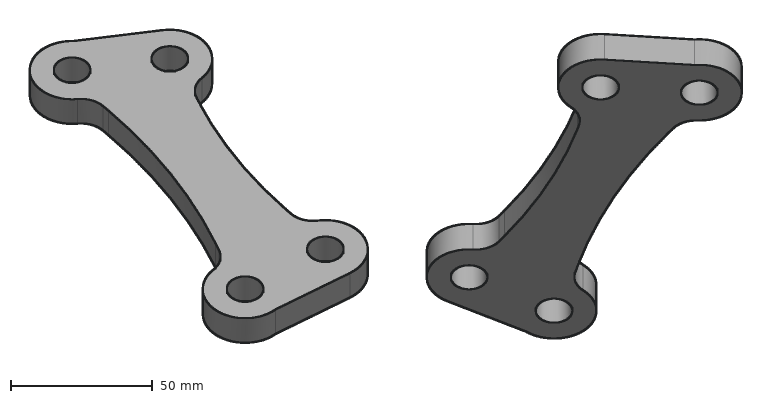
import cadquery as cq
import math

thickness = 12.0
hole_diameter = 13.0
lug_radius = 15.0
neck_fillet = 10.0
lower_left = (0, 0)
upper_left = (11.7, 33.0)
upper_right = (123.6, 33.6)
lower_right = (127.7, -1.1)
hole_centers = [lower_left, upper_left, upper_right, lower_right]

left_edge_angle = 149
right_edge_angle = 17

upper_arc_middle = (66.9, 28.7)
upper_arc_radius = 195.5
upper_arc_half_width = 31.5
lower_arc_middle = (63.4, 4.5)
lower_arc_radius = 222.4
lower_arc_half_width = 39.0


def point_on_lug(center, degrees):
    """Point on the rim of a lug at an angle from +X."""
    angle = math.radians(degrees)
    return (center[0] + lug_radius * math.cos(angle), center[1] + lug_radius * math.sin(angle))


def tangent_point(center, start, side):
    """Point where a line from start touches a lug; side is +1 or -1 around the lug."""
    dx = start[0] - center[0]
    dy = start[1] - center[1]
    spread = math.acos(lug_radius / math.hypot(dx, dy))
    return point_on_lug(center, math.degrees(math.atan2(dy, dx) + side * spread))


def waist_points(middle, radius, half_width, left_x, right_x, bend):
    """Line end, arc end, arc middle, arc end, line end; bend is +1 if the ends curve up."""
    slope_angle = math.asin(half_width / radius)
    end_y = middle[1] + bend * radius * (1 - math.cos(slope_angle))
    arc_left = (middle[0] - half_width, end_y)
    arc_right = (middle[0] + half_width, end_y)
    slope = bend * math.tan(slope_angle)
    line_left = (left_x, end_y + slope * (arc_left[0] - left_x))
    line_right = (right_x, end_y + slope * (right_x - arc_right[0]))
    return line_left, arc_left, middle, arc_right, line_right


def make_web():
    """Web between the four lugs, with straight ends and a curved waist."""
    left_foot = point_on_lug(lower_left, left_edge_angle)
    right_foot = point_on_lug(lower_right, right_edge_angle)
    left_top = tangent_point(upper_left, left_foot, -1)
    right_top = tangent_point(upper_right, right_foot, 1)
    upper = waist_points(
        upper_arc_middle, upper_arc_radius, upper_arc_half_width, upper_left[0], upper_right[0], 1
    )
    lower = waist_points(
        lower_arc_middle, lower_arc_radius, lower_arc_half_width, lower_left[0], lower_right[0], -1
    )
    return (
        cq.Workplane("XY")
        .moveTo(*left_foot)
        .lineTo(*left_top)
        .lineTo(*upper_left)
        .lineTo(*upper[0])
        .lineTo(*upper[1])
        .threePointArc(upper[2], upper[3])
        .lineTo(*upper[4])
        .lineTo(*upper_right)
        .lineTo(*right_top)
        .lineTo(*right_foot)
        .lineTo(*lower_right)
        .lineTo(*lower[4])
        .lineTo(*lower[3])
        .threePointArc(lower[2], lower[1])
        .lineTo(*lower[0])
        .lineTo(*lower_left)
        .close()
        .extrude(thickness)
    )


def neck_edges(body):
    """The vertical edge of each corner where the waist runs into a lug."""
    inward = {lower_left: 1, upper_left: 1, upper_right: -1, lower_right: -1}
    edges = []
    for center, direction in inward.items():
        target = cq.Vector(center[0] + direction * lug_radius, center[1], thickness / 2)
        nearest = min(body.edges("|Z").vals(), key=lambda edge: (edge.Center() - target).Length)
        edges.append(nearest)
    return edges


lugs = cq.Workplane("XY").pushPoints(hole_centers).circle(lug_radius).extrude(thickness)
body = make_web().union(lugs)
body = body.newObject(neck_edges(body)).fillet(neck_fillet)
holes = cq.Workplane("XY").pushPoints(hole_centers).circle(hole_diameter / 2).extrude(thickness)
result = body.cut(holes)